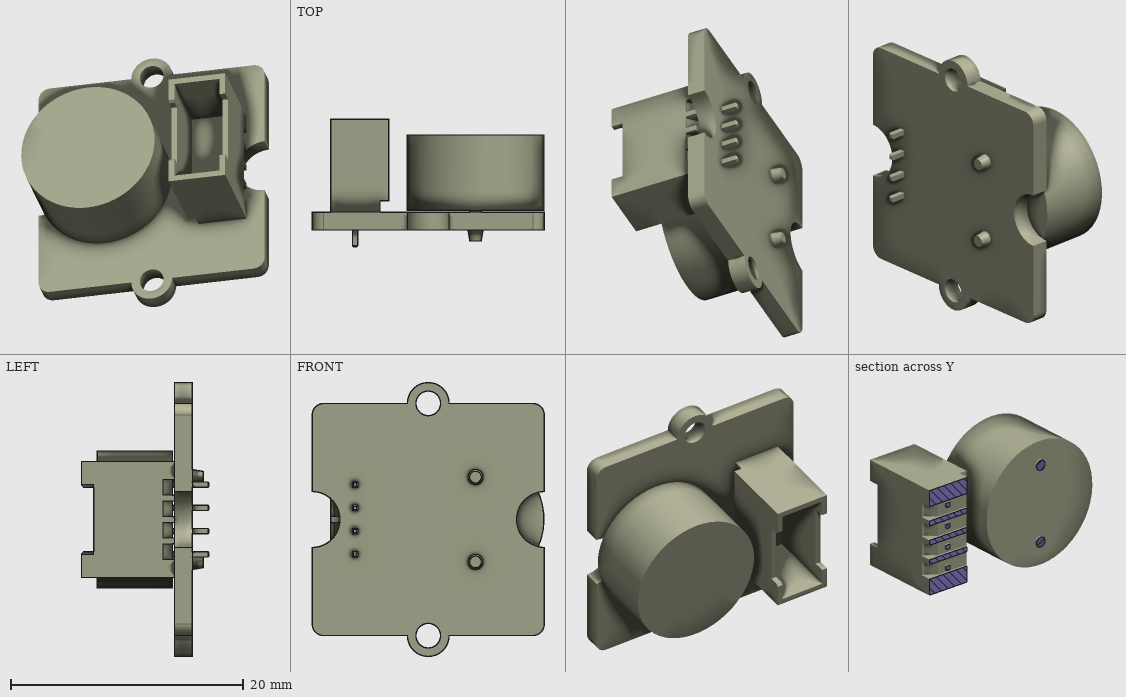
import cadquery as cq


BOARD_SIZE = 20.0
BOARD_THICK = 1.55
CORNER_RADIUS = 1.0
EAR_RADIUS = 1.8
EAR_HOLE_DIAMETER = 2.1
NOTCH_RADIUS = 2.4
HALF_BOARD = BOARD_SIZE / 2

HOUSING_WIDTH = 5.0
HOUSING_LENGTH = 10.0
HOUSING_HEIGHT = 8.0
HOUSING_LEFT = -8.4
HOUSING_RIGHT = HOUSING_LEFT + HOUSING_WIDTH
HOUSING_CENTER = HOUSING_LEFT + HOUSING_WIDTH / 2
WALL_THICK = 0.5
STEP_WIDTH = 0.75
RELIEF_HEIGHT = 0.97

SLOT_DEPTH = 1.05
LEFT_SLOT_LENGTH = 6.0
RIGHT_SLOT_LENGTH = 5.55
SLOT_CHAMFER = 0.2

POCKET_LENGTH = 1.33
POCKET_PITCH = 1.845
POCKET_LEDGE = 0.3
FOOT_GAP = 0.15

CONTACT_COUNT = 4
CONTACT_PITCH = 2.0
CONTACT_X = -6.3
CONTACT_SIZE = 0.47
CONTACT_TIP_Y = -3.0
CONTACT_CHAMFER = 0.1

SOCKET_FLOOR = RELIEF_HEIGHT + WALL_THICK

BUZZER_X = 4.07
BUZZER_DIAMETER = 11.8
BUZZER_HEIGHT = 6.5
BUZZER_GAP = 0.15
LEAD_SPACING = 7.3
LEAD_RADIUS = 0.5
SOLDER_RADIUS = 0.66
SOLDER_HEIGHT = 0.95


def box(x_range, y_range, z_range):
    """Solid block between the given limits."""
    size = [high - low for low, high in (x_range, y_range, z_range)]
    corner = (x_range[0], y_range[0], z_range[0])
    return cq.Workplane("XY").box(*size, centered=False).translate(corner)


def rod(x, z, radius, y_start, y_end):
    """Round bar along +Y."""
    plane = cq.Plane(origin=(x, y_start, z), xDir=(0, 0, 1), normal=(0, 1, 0))
    return cq.Workplane(plane).circle(radius).extrude(y_end - y_start)


def spaced(count, pitch):
    """Positions of equally spaced items, centred on zero."""
    return [(index - (count - 1) / 2) * pitch for index in range(count)]


def centered(length, middle=0.0):
    """Limits of a length centred on a middle position."""
    return (middle - length / 2, middle + length / 2)


CONTACT_PLACES = spaced(CONTACT_COUNT, CONTACT_PITCH)
POCKET_PLACES = spaced(CONTACT_COUNT, POCKET_PITCH)
LEAD_PLACES = spaced(2, LEAD_SPACING)


def make_board():
    square = centered(BOARD_SIZE)
    board = box(square, (-BOARD_THICK, 0), square).edges("|Y").fillet(CORNER_RADIUS)

    for z in (-HALF_BOARD, HALF_BOARD):
        board = board.union(rod(0, z, EAR_RADIUS, -BOARD_THICK, 0))
    for z in (-HALF_BOARD, HALF_BOARD):
        board = board.cut(rod(0, z, EAR_HOLE_DIAMETER / 2, -BOARD_THICK, 0))
    for x in (-HALF_BOARD, HALF_BOARD):
        board = board.cut(rod(x, 0, NOTCH_RADIUS, -BOARD_THICK, 0))

    for z in CONTACT_PLACES:
        hole = box(centered(CONTACT_SIZE, CONTACT_X), (-BOARD_THICK, 0), centered(CONTACT_SIZE, z))
        board = board.cut(hole)
    for z in LEAD_PLACES:
        board = board.cut(rod(BUZZER_X, z, LEAD_RADIUS, -BOARD_THICK, 0))
    return board


def make_cable_slot(x_range, length):
    return box(x_range, (HOUSING_HEIGHT - SLOT_DEPTH, HOUSING_HEIGHT), centered(length))


def make_chamfered_slot(x_range, length):
    """Cable slot whose two mouth corners are bevelled."""
    half = length / 2
    floor = HOUSING_HEIGHT - SLOT_DEPTH
    bevel_start = HOUSING_HEIGHT - SLOT_CHAMFER
    outline = [
        (floor, -half),
        (bevel_start, -half),
        (HOUSING_HEIGHT, -half - SLOT_CHAMFER),
        (HOUSING_HEIGHT, half + SLOT_CHAMFER),
        (bevel_start, half),
        (floor, half),
    ]
    plane = cq.Workplane("YZ", origin=(x_range[0], 0, 0))
    return plane.polyline(outline).close().extrude(x_range[1] - x_range[0])


def make_relief_pocket(z):
    """Ledge, then a 45 degree slope down to a thin gap that runs on across the housing foot."""
    ledge_end = HOUSING_LEFT + POCKET_LEDGE
    slope_end = ledge_end + RELIEF_HEIGHT - FOOT_GAP
    outline = [
        (HOUSING_LEFT, 0),
        (HOUSING_LEFT, RELIEF_HEIGHT),
        (ledge_end, RELIEF_HEIGHT),
        (slope_end, FOOT_GAP),
        (HOUSING_RIGHT, FOOT_GAP),
        (HOUSING_RIGHT, 0),
    ]
    plane = cq.Workplane("XY", origin=(0, 0, z - POCKET_LENGTH / 2))
    return plane.polyline(outline).close().extrude(POCKET_LENGTH)


def make_contact(z):
    """Square pin from the socket floor through the board, bevelled at its tip."""
    pin = box(
        centered(CONTACT_SIZE, CONTACT_X),
        (CONTACT_TIP_Y, SOCKET_FLOOR),
        centered(CONTACT_SIZE, z),
    )
    return pin.faces("<Y").chamfer(CONTACT_CHAMFER)


def make_connector():
    width = (HOUSING_LEFT, HOUSING_RIGHT)
    connector = box(width, (0, HOUSING_HEIGHT), centered(HOUSING_LENGTH))

    socket = box(
        centered(HOUSING_WIDTH - 2 * WALL_THICK, HOUSING_CENTER),
        (SOCKET_FLOOR, HOUSING_HEIGHT),
        centered(HOUSING_LENGTH - 2 * WALL_THICK),
    )
    step = box(
        (HOUSING_RIGHT - STEP_WIDTH, HOUSING_RIGHT),
        (0, RELIEF_HEIGHT),
        centered(HOUSING_LENGTH),
    )
    left_wall = (HOUSING_LEFT, HOUSING_LEFT + WALL_THICK)
    right_wall = (HOUSING_RIGHT - WALL_THICK, HOUSING_RIGHT)
    connector = connector.cut(socket).cut(step)
    connector = connector.cut(make_cable_slot(left_wall, LEFT_SLOT_LENGTH))
    connector = connector.cut(make_chamfered_slot(right_wall, RIGHT_SLOT_LENGTH))

    for z in POCKET_PLACES:
        connector = connector.cut(make_relief_pocket(z))
    for z in CONTACT_PLACES:
        connector = connector.union(make_contact(z))
    return connector


def make_lead(z):
    """Round lead through the board with a tapered solder joint on the far face."""
    shank = rod(BUZZER_X, z, LEAD_RADIUS, -BOARD_THICK, BUZZER_GAP)
    joint = cq.Solid.makeCone(
        SOLDER_RADIUS,
        LEAD_RADIUS,
        SOLDER_HEIGHT,
        cq.Vector(BUZZER_X, -BOARD_THICK, z),
        cq.Vector(0, -1, 0),
    )
    return shank.union(cq.Workplane(joint))


def make_buzzer():
    buzzer = rod(BUZZER_X, 0, BUZZER_DIAMETER / 2, BUZZER_GAP, BUZZER_GAP + BUZZER_HEIGHT)
    for z in LEAD_PLACES:
        buzzer = buzzer.union(make_lead(z))
    return buzzer


board = make_board()
connector = make_connector()
buzzer = make_buzzer()

result = cq.Compound.makeCompound([board.val(), connector.val(), buzzer.val()])